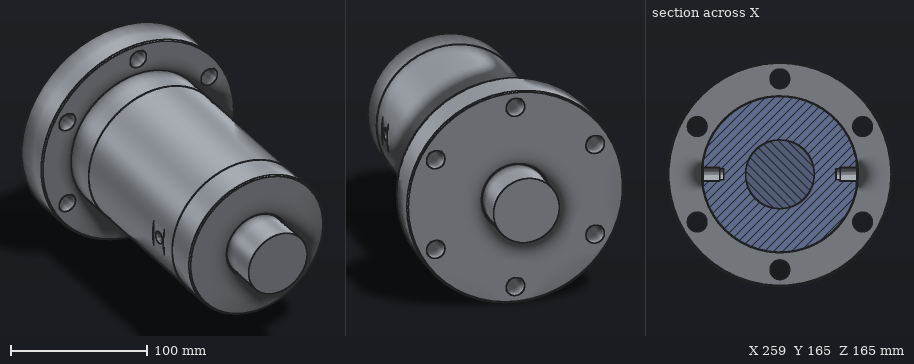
import cadquery as cq

housing_length = 199.0
rod_overhang = 30.0
rod_length = housing_length + 2 * rod_overhang
rod_diameter = 50.0

flange_diameter = 165.0
flange_thickness = 30.0
collar_diameter = 115.0
collar_length = 25.0
barrel_diameter = 114.5
edge_chamfer = 1.0

bolt_count = 6
bolt_hole_diameter = 14.0
bolt_circle_diameter = 140.0

port_from_rear = 45.6
port_flat_width = 15.0
port_flat_depth = 1.0
port_diameter = 8.0
port_mouth_diameter = 9.7
port_mouth_depth = 12.0
port_depth = 15.0

housing_front = -housing_length / 2
housing_rear = housing_length / 2
flange_back = housing_front + flange_thickness
barrel_front = flange_back + collar_length
barrel_rear = housing_rear - collar_length
port_x = housing_rear - port_from_rear
port_flat_offset = barrel_diameter / 2 - port_flat_depth


def cylinder(start, end, diameter):
    """Solid cylinder on the X axis between two stations."""
    return cq.Workplane("YZ", origin=(start, 0, 0)).circle(diameter / 2).extrude(end - start)


def housing_blank():
    """Flange, front collar, slightly smaller barrel and rear collar."""
    flange = cylinder(housing_front, flange_back, flange_diameter).edges().chamfer(edge_chamfer)
    front_collar = cylinder(flange_back, barrel_front, collar_diameter)
    barrel = cylinder(barrel_front, barrel_rear, barrel_diameter)
    rear_collar = cylinder(barrel_rear, housing_rear, collar_diameter)
    rear_collar = rear_collar.faces(">X").edges().chamfer(edge_chamfer)
    return flange.union(front_collar).union(barrel).union(rear_collar)


def rod_bore():
    """Through bore for the rod, widened by a chamfer at both mouths."""
    bore = cylinder(housing_front, housing_rear, rod_diameter)
    mouth_diameter = rod_diameter + 2 * edge_chamfer
    for mouth, inward in ((housing_front, 1), (housing_rear, -1)):
        cone = (
            cq.Workplane("YZ", origin=(mouth, 0, 0))
            .circle(mouth_diameter / 2)
            .workplane(offset=inward * edge_chamfer)
            .circle(rod_diameter / 2)
            .loft()
        )
        bore = bore.union(cone)
    return bore


def bolt_holes():
    """Ring of through holes in the flange, one at the top."""
    return (
        cq.Workplane("YZ", origin=(housing_front, 0, 0))
        .polarArray(bolt_circle_diameter / 2, 90, 360, bolt_count)
        .circle(bolt_hole_diameter / 2)
        .extrude(flange_thickness)
    )


def port(side):
    """Flat with a stepped blind hole on the -Y (side = -1) or +Y (side = 1) of the barrel."""
    flat = cq.Workplane("XY").box(port_flat_width, 2 * port_flat_depth, collar_diameter)
    flat = flat.translate((port_x, side * (port_flat_offset + port_flat_depth), 0))
    profile = [
        (0, 0),
        (port_mouth_diameter / 2, 0),
        (port_mouth_diameter / 2, -port_mouth_depth),
        (port_diameter / 2, -port_mouth_depth),
        (port_diameter / 2, -port_depth),
        (0, -port_depth),
    ]
    hole = cq.Workplane("XY").polyline(profile).close().revolve(360, (0, 0, 0), (0, 1, 0))
    if side < 0:
        hole = hole.mirror("XZ")
    return flat.union(hole.translate((port_x, side * port_flat_offset, 0)))


housing = housing_blank().cut(rod_bore()).cut(bolt_holes())
for side in (-1, 1):
    housing = housing.cut(port(side))

rod = cylinder(-rod_length / 2, rod_length / 2, rod_diameter)

result = cq.Compound.makeCompound([housing.val(), rod.val()])